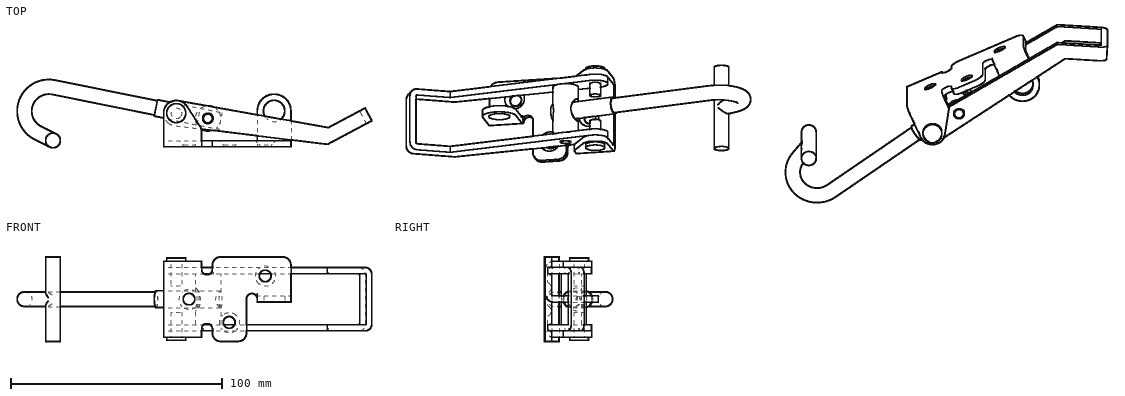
import cadquery as cq
import math


SHEET = 3.0
BEND_OUTER = 4.0
BEND_INNER = BEND_OUTER - SHEET

EAR_OUTER_Z = 18.0
LEVER_OUTER_Z = EAR_OUTER_Z - SHEET
LEVER_INNER_Z = LEVER_OUTER_Z - SHEET

PIVOT_EYE_R = 6.0
RIVET_D = 5.0
RIVET_HEAD_D = 9.0
RIVET_HEAD_H = 1.5
RIVET_TIP_Z = 6.25

BASE_OUTER_Y = -16.0
BASE_INNER_Y = BASE_OUTER_Y + SHEET
EAR_LEFT_X = -PIVOT_EYE_R
EAR_RIGHT_X = 12.0
EAR_SHOULDER_Y = -7.5
EAR_BEND_Z = EAR_OUTER_Z - BEND_OUTER

RELIEF_W = 5.0
WING_LEFT_X = EAR_RIGHT_X + RELIEF_W
WING_Z = 20.0
PLATE_STEP_X = 33.2
PLATE_CORNER_R = 4.0
SCREW_HOLE_D = 5.5
SCREW_HOLE_LAND = 1.0
COUNTERSINK_DEPTH = SHEET - SCREW_HOLE_LAND
SCREW_HEAD_D = SCREW_HOLE_D + 2 * COUNTERSINK_DEPTH
SCREW_HOLES = [(42.0, 11.0), (25.0, -11.0), (6.0, 0.0)]

RING_R = 8.0
RING_HOLE_D = 10.0
RING_LEFT_X = PLATE_STEP_X + RELIEF_W
RING_X = RING_LEFT_X + RING_R
RING_Y = 1.0
RING_OUTER_Z = -1.4
RING_BEND_Z = RING_OUTER_Z + BEND_OUTER
RING_RELIEF_Z = RING_BEND_Z - RELIEF_W / 2
PLATE_RIGHT_X = RING_X + RING_R

KNEE_TOP = (71.8, -6.8)
KNEE_BOTTOM = (71.4, -14.8)
HANDLE_ANGLE = 28.0
LEVER_END_X = 92.4
LEVER_BEND_INNER = 0.5
LEVER_BEND_OUTER = LEVER_BEND_INNER + SHEET

BARREL_X = 14.9
BARREL_Y = -2.5
BARREL_D = 12.0
TRUNNION_D = 4.2
TRUNNION_HOLE_D = 5.0
BORE_COUNTERSINK_D = 10.8

ROD_D = 7.0
COLLAR_D = 8.0
COLLAR_END = 25.0
HOOK_BEND_R = 11.5
HOOK_X = -60.18
HOOK_Y = 0.92
T_BAR_X = -58.2
T_BAR_Y = -12.93
T_BAR_LENGTH = 40.05


def polar(centre, radius, angle):
    """Point at a distance and an angle (radians) from a centre."""
    return (centre[0] + radius * math.cos(angle), centre[1] + radius * math.sin(angle))


def tangent_point(point, centre, radius, side):
    """Where a line from a point touches a circle; side +1 is counter-clockwise of the point, -1 clockwise."""
    dx = point[0] - centre[0]
    dy = point[1] - centre[1]
    angle = math.atan2(dy, dx) + side * math.acos(radius / math.hypot(dx, dy))
    return polar(centre, radius, angle)


def cylinder_z(x, y, diameter, z_start, z_end):
    """Cylinder along Z between two heights."""
    return (
        cq.Workplane("XY", origin=(x, y, z_start)).circle(diameter / 2).extrude(z_end - z_start)
    )


def box(x_range, y_range, z_range):
    """Box between two corners, given as a range on each axis."""
    ranges = (x_range, y_range, z_range)
    sizes = [high - low for low, high in ranges]
    corner = [low for low, high in ranges]
    return cq.Workplane("XY", origin=corner).box(*sizes, centered=False)


PIVOT = (0.0, 0.0)
BARREL = (BARREL_X, BARREL_Y)
HOOK_CENTRE = (HOOK_X, HOOK_Y)
T_BAR = (T_BAR_X, T_BAR_Y)

BEND_START = tangent_point(BARREL, HOOK_CENTRE, HOOK_BEND_R, 1)
BEND_END = tangent_point(T_BAR, HOOK_CENTRE, HOOK_BEND_R, -1)
ROD_ANGLE = math.atan2(BEND_START[1] - BARREL_Y, BEND_START[0] - BARREL_X)
ROD_DIRECTION = (math.cos(ROD_ANGLE), math.sin(ROD_ANGLE))

HANDLE_SLOPE = math.radians(HANDLE_ANGLE)
TIP_BOTTOM = (LEVER_END_X, KNEE_BOTTOM[1] + (LEVER_END_X - KNEE_BOTTOM[0]) * math.tan(HANDLE_SLOPE))
HANDLE_LENGTH = (
    (TIP_BOTTOM[0] - KNEE_TOP[0]) * math.cos(HANDLE_SLOPE)
    + (TIP_BOTTOM[1] - KNEE_TOP[1]) * math.sin(HANDLE_SLOPE)
)
TIP_TOP = polar(KNEE_TOP, HANDLE_LENGTH, HANDLE_SLOPE)


def base_channel():
    """U-shaped channel whose two ears carry the rivets."""
    outer = (
        box((EAR_LEFT_X, EAR_RIGHT_X), (BASE_OUTER_Y, PIVOT_EYE_R), (-EAR_OUTER_Z, EAR_OUTER_Z))
        .edges("|X and <Y")
        .fillet(BEND_OUTER)
    )
    inner = (
        box((EAR_LEFT_X, EAR_RIGHT_X), (BASE_INNER_Y, PIVOT_EYE_R), (-LEVER_OUTER_Z, LEVER_OUTER_Z))
        .edges("|X and <Y")
        .fillet(BEND_INNER)
    )
    shoulder = (EAR_RIGHT_X, EAR_SHOULDER_Y)
    profile = (
        cq.Workplane("XY", origin=(0, 0, -EAR_OUTER_Z))
        .moveTo(EAR_LEFT_X, BASE_OUTER_Y)
        .lineTo(EAR_RIGHT_X, BASE_OUTER_Y)
        .lineTo(*shoulder)
        .lineTo(*tangent_point(shoulder, PIVOT, PIVOT_EYE_R, 1))
        .threePointArc((0, PIVOT_EYE_R), (EAR_LEFT_X, 0))
        .close()
        .extrude(2 * EAR_OUTER_Z)
    )
    return outer.cut(inner).intersect(profile)


def base_plate():
    """Flat plate with a full-width wing and a half-width wing that ends at the ring's bend."""
    y_range = (BASE_OUTER_Y, BASE_INNER_Y)
    neck = box((0, WING_LEFT_X), y_range, (-EAR_BEND_Z, EAR_BEND_Z))
    left_wing = (
        box((WING_LEFT_X, PLATE_STEP_X), y_range, (-WING_Z, WING_Z))
        .edges("|Y and (<X or <Z)")
        .fillet(PLATE_CORNER_R)
    )
    right_wing = (
        box((PLATE_STEP_X - RELIEF_W, PLATE_RIGHT_X), y_range, (RING_BEND_Z, WING_Z))
        .edges("|Y and >X and >Z")
        .fillet(PLATE_CORNER_R)
    )
    relief_web = box((PLATE_STEP_X, RING_LEFT_X), y_range, (RING_RELIEF_Z, RING_BEND_Z))
    return neck.union(left_wing).union(right_wing).union(relief_web)


def padlock_ring():
    """Tab bent up from the half-width wing, with a round end and an eye."""
    inner_z = RING_OUTER_Z + SHEET
    x_range = (RING_LEFT_X, PLATE_RIGHT_X)
    bend_y = BASE_OUTER_Y + BEND_OUTER
    corner = box(x_range, (BASE_OUTER_Y, bend_y), (RING_OUTER_Z, RING_BEND_Z))
    rounded = (
        cq.Workplane("YZ", origin=(RING_LEFT_X, bend_y, RING_BEND_Z))
        .circle(BEND_OUTER)
        .circle(BEND_INNER)
        .extrude(2 * RING_R)
    )
    tab = box(x_range, (bend_y, RING_Y), (RING_OUTER_Z, inner_z))
    tab = tab.union(cylinder_z(RING_X, RING_Y, 2 * RING_R, RING_OUTER_Z, inner_z))
    eye = cylinder_z(RING_X, RING_Y, RING_HOLE_D, RING_OUTER_Z, inner_z)
    return corner.intersect(rounded).union(tab.cut(eye))


def plate_hole(x, z, diameter):
    """Round cutter through the flat plate."""
    return (
        cq.Workplane("XZ", origin=(x, BASE_INNER_Y, z)).circle(diameter / 2).extrude(SHEET)
    )


def countersunk_hole(x, z):
    """Hole through the flat plate, countersunk on the inner face to seat a flat-head screw."""
    cone = cq.Solid.makeCone(
        SCREW_HOLE_D / 2,
        SCREW_HEAD_D / 2,
        COUNTERSINK_DEPTH,
        pnt=cq.Vector(x, BASE_OUTER_Y + SCREW_HOLE_LAND, z),
        dir=cq.Vector(0, 1, 0),
    )
    return plate_hole(x, z, SCREW_HOLE_D).union(cq.Workplane(cone))


def relief(x, centre_z, outward):
    """Round-ended slot beside a bend, open in the outward direction (+1 or -1 along Z)."""
    slot_end = centre_z + outward * WING_Z
    z_range = sorted((centre_z, slot_end))
    slot = box((x - RELIEF_W / 2, x + RELIEF_W / 2), (BASE_OUTER_Y, BASE_INNER_Y), z_range)
    return slot.union(plate_hole(x, centre_z, RELIEF_W))


def make_base():
    """Channel, plate and ring from one sheet, with its rivet holes, bend reliefs and screw holes."""
    base = base_channel().union(base_plate()).union(padlock_ring())
    base = base.cut(cylinder_z(*PIVOT, RIVET_D, -EAR_OUTER_Z, EAR_OUTER_Z))
    ear_relief_x = EAR_RIGHT_X + RELIEF_W / 2
    for side in (1, -1):
        base = base.cut(relief(ear_relief_x, side * EAR_BEND_Z, side))
    base = base.cut(relief(PLATE_STEP_X + RELIEF_W / 2, RING_RELIEF_Z, -1))
    for x, z in SCREW_HOLES:
        base = base.cut(countersunk_hole(x, z))
    return base


def lever_side():
    """Full-width blank with the lever's side outline: pivot eye, arm, and handle bent up at the knee."""
    eye_bottom = tangent_point(KNEE_BOTTOM, PIVOT, PIVOT_EYE_R, -1)
    eye_top = tangent_point(KNEE_TOP, PIVOT, PIVOT_EYE_R, 1)
    return (
        cq.Workplane("XY", origin=(0, 0, -LEVER_OUTER_Z))
        .moveTo(*eye_bottom)
        .lineTo(*KNEE_BOTTOM)
        .lineTo(*TIP_BOTTOM)
        .lineTo(*TIP_TOP)
        .lineTo(*KNEE_TOP)
        .lineTo(*eye_top)
        .threePointArc((-PIVOT_EYE_R, 0), eye_bottom)
        .close()
        .extrude(2 * LEVER_OUTER_Z)
    )


def handle_prism(half_width, tip_gap, corner_r):
    """Block lying along the handle, with its two corners at the tip end rounded."""
    length = 2 * LEVER_END_X
    return (
        box((-length, -tip_gap), (-length, length), (-half_width, half_width))
        .edges("|Y and >X")
        .fillet(corner_r)
        .rotate((0, 0, 0), (0, 0, 1), HANDLE_ANGLE)
        .translate((*TIP_BOTTOM, 0))
    )


def make_lever():
    """Two arms and a cross piece at the handle end, bent from one strip."""
    lever = lever_side().intersect(handle_prism(LEVER_OUTER_Z, 0, LEVER_BEND_OUTER))
    lever = lever.cut(handle_prism(LEVER_INNER_Z, SHEET, LEVER_BEND_INNER))
    for x, y, diameter in [(*PIVOT, RIVET_D), (*BARREL, TRUNNION_HOLE_D)]:
        lever = lever.cut(cylinder_z(x, y, diameter, -LEVER_OUTER_Z, LEVER_OUTER_Z))
    return lever


def make_rivet(side):
    """Headed rivet through one ear and one lever arm; side is +1 or -1 along Z."""
    shank = cylinder_z(*PIVOT, RIVET_D, RIVET_TIP_Z, EAR_OUTER_Z)
    head = cylinder_z(*PIVOT, RIVET_HEAD_D, EAR_OUTER_Z, EAR_OUTER_Z + RIVET_HEAD_H)
    rivet = shank.union(head)
    return rivet if side > 0 else rivet.mirror("XY")


def rod_section(diameter, distance):
    """Circle square to the rod axis, at a distance from the barrel axis towards the hook."""
    centre = polar(BARREL, distance, ROD_ANGLE)
    plane = cq.Plane(origin=(*centre, 0), xDir=(0, 0, 1), normal=(*ROD_DIRECTION, 0))
    return cq.Workplane(plane).circle(diameter / 2)


def rod_cylinder(diameter, start, end):
    """Cylinder on the rod axis between two distances from the barrel axis."""
    return rod_section(diameter, start).extrude(end - start)


def make_barrel():
    """Cross pin with a trunnion in each lever arm and a countersunk through bore for the rod's collar."""
    body = cylinder_z(*BARREL, BARREL_D, -LEVER_INNER_Z, LEVER_INNER_Z)
    trunnions = cylinder_z(*BARREL, TRUNNION_D, -LEVER_OUTER_Z, LEVER_OUTER_Z)
    barrel = body.union(trunnions).cut(rod_cylinder(COLLAR_D, -BARREL_D, BARREL_D))
    countersink_depth = (BORE_COUNTERSINK_D - COLLAR_D) / 2
    countersink = cq.Solid.makeCone(
        COLLAR_D / 2,
        BORE_COUNTERSINK_D / 2,
        countersink_depth,
        pnt=cq.Vector(*polar(BARREL, BARREL_D / 2 - countersink_depth, ROD_ANGLE)),
        dir=cq.Vector(*ROD_DIRECTION),
    )
    return barrel.cut(countersink)


def make_hook():
    """Collared rod, bent into a hook that carries a T-bar."""
    bend_far = (HOOK_X - HOOK_BEND_R, HOOK_Y)
    path = (
        cq.Workplane("XY")
        .moveTo(*polar(BARREL, COLLAR_END, ROD_ANGLE))
        .lineTo(*BEND_START)
        .threePointArc(bend_far, BEND_END)
        .lineTo(*T_BAR)
    )
    rod = rod_section(ROD_D, COLLAR_END).sweep(path)
    collar = rod_cylinder(COLLAR_D, -BARREL_D / 2, COLLAR_END)
    t_bar = cylinder_z(*T_BAR, ROD_D, -T_BAR_LENGTH / 2, T_BAR_LENGTH / 2)
    return rod.union(t_bar).union(collar)


base = make_base()
lever = make_lever()
rivets = [make_rivet(side) for side in (1, -1)]
barrel = make_barrel()
hook = make_hook()

result = cq.Compound.makeCompound([
    base.val(),
    lever.val(),
    *[rivet.val() for rivet in rivets],
    barrel.val(),
    hook.val(),
])